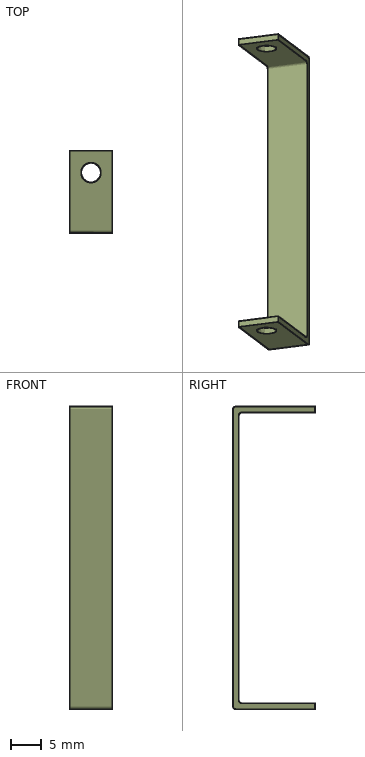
import cadquery as cq

width = 7.0
flange_length = 13.5
height = 49.61
thickness = 1.0
bend_radius = 0.5
hole_diameter = 3.18
hole_to_flange_end = 3.6
hole_y = flange_length - hole_to_flange_end


def rounded_block(y_start, z_inset):
    """Full-width block from y_start to the flange ends, inset at top and bottom, with rounded -Y edges."""
    return (
        cq.Workplane("XY")
        .box(width, flange_length - y_start, height - 2 * z_inset, centered=(True, False, True))
        .translate((0, y_start, 0))
        .edges("|X and <Y")
        .fillet(bend_radius)
    )


def flange_hole_cutter():
    """One cylinder that passes through both flanges."""
    return (
        cq.Workplane("XY")
        .center(0, hole_y)
        .circle(hole_diameter / 2)
        .extrude(height / 2, both=True)
    )


outer_block = rounded_block(0, 0)
inner_space = rounded_block(thickness, thickness)

result = outer_block.cut(inner_space).cut(flange_hole_cutter())